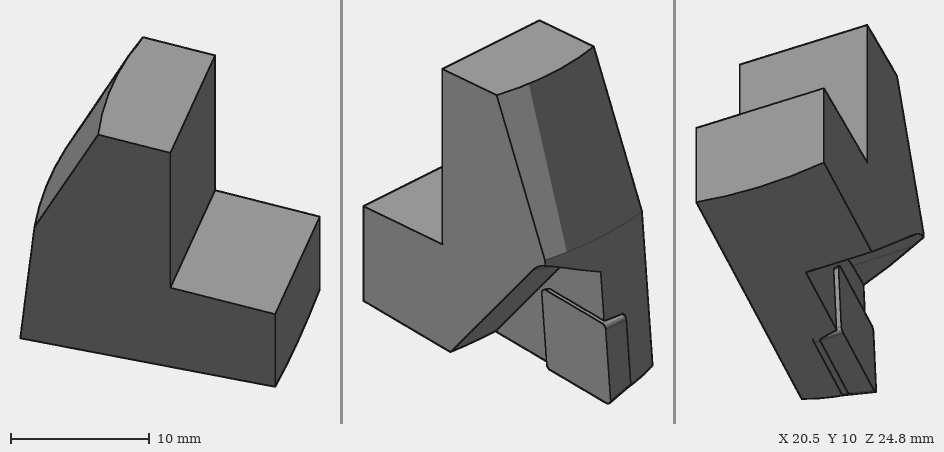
import cadquery as cq
import math

LENGTH = 20.47
WIDTH = 10.0
HEIGHT = 24.78

RELIEF_ANGLE = 5.0
NOSE_X = 1.05
NOSE_Z = 0.72
KINK_Z = 13.05
TOP_LEFT_X = 7.0
STEP_X = 12.5
STEP_Z = 10.25

LOWER_BULGE = 0.5
TOP_BULGE = 0.6
UNDERSIDE_BULGE = 0.47

POCKET_FLOOR_Y = 5.0
CEILING_Z = 10.33
CEILING_BACK_Z = 12.65
WALL_TOP = (2.48, 12.75)
WALL_FOOT = (11.9, 1.36)
POCKET_FILLET = 1.85

INSERT_TOP_Y = 5.4
INSERT_THICKNESS = 2.4
INSERT_SIDE = 6.5
INSERT_CLEARANCE = 7.0
INSERT_CORNER_RADIUS = 0.4

MARGIN = 4.95
SLOPE = math.tan(math.radians(RELIEF_ANGLE))


def plan_section(z, left_x, bulge):
    """Horizontal holder section whose left side is an arc."""
    return (
        cq.Workplane("XY", origin=(0, 0, z))
        .moveTo(LENGTH, 0)
        .lineTo(left_x, 0)
        .threePointArc((left_x - bulge, WIDTH / 2), (left_x, WIDTH))
        .lineTo(LENGTH, WIDTH)
        .close()
        .val()
    )


def end_section(x):
    """Cross section at x whose underside is an arc."""
    edge_z = NOSE_Z + (x - NOSE_X) * SLOPE
    return (
        cq.Workplane("YZ", origin=(x, 0, 0))
        .moveTo(0, HEIGHT)
        .lineTo(0, edge_z)
        .threePointArc((WIDTH / 2, edge_z - UNDERSIDE_BULGE), (WIDTH, edge_z))
        .lineTo(WIDTH, HEIGHT)
        .close()
        .val()
    )


def make_block():
    """Holder block with bulged left faces, bulged underside and rear step."""
    kink_x = NOSE_X + (KINK_Z - NOSE_Z) * SLOPE
    low_x = NOSE_X - (MARGIN + NOSE_Z) * SLOPE
    low = plan_section(-MARGIN, low_x, LOWER_BULGE)
    kink = plan_section(KINK_Z, kink_x, LOWER_BULGE)
    top = plan_section(HEIGHT, TOP_LEFT_X, TOP_BULGE)
    lower_part = cq.Workplane(cq.Solid.makeLoft([low, kink], True))
    upper_part = cq.Workplane(cq.Solid.makeLoft([kink, top], True))
    underside = cq.Workplane(cq.Solid.makeLoft([end_section(-MARGIN), end_section(LENGTH)], True))
    step = cq.Workplane("XY").box(LENGTH, WIDTH, HEIGHT, centered=False).translate((STEP_X, 0, STEP_Z))
    return lower_part.union(upper_part).intersect(underside).cut(step)


def make_pocket():
    """Pocket volume with a slanted wall, a sloping ceiling and a fillet between them."""
    run = (WALL_FOOT[0] - WALL_TOP[0]) / (WALL_TOP[1] - WALL_FOOT[1])
    wall_high = (WALL_TOP[0] - MARGIN * run, WALL_TOP[1] + MARGIN)
    wall_low = (WALL_FOOT[0] + MARGIN * run, WALL_FOOT[1] - MARGIN)
    left_x = wall_high[0] - MARGIN
    back_y = WIDTH + MARGIN
    ceiling_rise = (CEILING_BACK_Z - CEILING_Z) / (WIDTH - POCKET_FLOOR_Y)
    wall_side = (
        cq.Workplane("XZ", origin=(0, POCKET_FLOOR_Y, 0))
        .polyline([(left_x, wall_low[1]), wall_low, wall_high, (left_x, wall_high[1])])
        .close()
        .extrude(POCKET_FLOOR_Y - back_y)
    )
    below_ceiling = (
        cq.Workplane("YZ", origin=(left_x, 0, 0))
        .polyline([
            (POCKET_FLOOR_Y, wall_low[1]),
            (back_y, wall_low[1]),
            (back_y, CEILING_Z + ceiling_rise * (back_y - POCKET_FLOOR_Y)),
            (POCKET_FLOOR_Y, CEILING_Z),
        ])
        .close()
        .extrude(wall_low[0] - left_x)
    )
    fillet_edge = cq.selectors.ParallelDirSelector(cq.Vector(-run * ceiling_rise, 1, ceiling_rise))
    return wall_side.intersect(below_ceiling).edges(fillet_edge).fillet(POCKET_FILLET)


def make_insert():
    """Rhombic insert with rounded corners, narrowing away from its top face."""
    angle = math.radians(RELIEF_ANGLE)
    long_step = INSERT_SIDE * math.cos(angle)
    short_step = INSERT_SIDE * math.sin(angle)
    half_corner = math.pi / 4 - angle
    corner = INSERT_CORNER_RADIUS * (1 - math.sqrt(0.5) / math.sin(half_corner))
    points = [
        (corner, corner),
        (corner + long_step, corner + short_step),
        (corner + long_step + short_step, corner + long_step + short_step),
        (corner + short_step, corner + long_step),
    ]
    return (
        cq.Workplane("XZ", origin=(0, INSERT_TOP_Y, 0))
        .polyline(points)
        .close()
        .extrude(INSERT_THICKNESS, taper=INSERT_CLEARANCE)
        .edges("not #Y")
        .fillet(INSERT_CORNER_RADIUS)
    )


insert = make_insert()
holder = make_block().cut(make_pocket()).cut(insert)

result = cq.Compound.makeCompound([*holder.solids().vals(), insert.solids().val()])